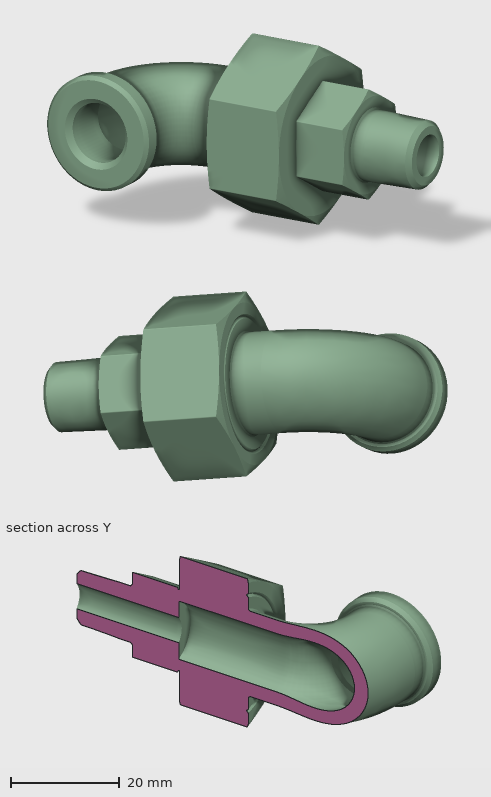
import cadquery as cq
import math

overall_length = 69.6
flange_radius = 11.0
outlet_end_x = overall_length - flange_radius
inlet_end_y = -21.0

tube_radius = 9.5
bend_radius = 14.05
tube_root_flare = 0.3
inlet_bore_radius = 5.7
inlet_bore_depth = 9.9
bore_chamfer = 1.05
passage_radius = 6.75
outlet_bore_radius = 4.0

flange_thickness = 4.05
flange_chamfer = 0.7

nut_start_x = 20.1
nut_end_x = 35.7
nut_across_flats = 29.9
groove_radius = 12.45
groove_depth = 0.4

neck_radius = 9.05
hex_start_x = 35.9
hex_end_x = 46.2
hex_across_flats = 18.45

corner_rounding = 0.2
hex_bevel_angle = 15.0

thread_radius = 6.7
thread_tip_radius = 6.5
thread_taper_start_x = 48.85
thread_tip_chamfer = 0.9
thread_root_chamfer = 0.35


def rod_x(start_x, end_x, radius):
    """Cylinder on the outlet axis."""
    return cq.Workplane("YZ").workplane(offset=start_x).circle(radius).extrude(end_x - start_x)


def rod_y(start_y, end_y, radius):
    """Cylinder on the inlet axis."""
    plane = cq.Plane(origin=(0, start_y, 0), xDir=(1, 0, 0), normal=(0, 1, 0))
    return cq.Workplane(plane).circle(radius).extrude(end_y - start_y)


def revolve_x(profile):
    """Solid of revolution about the outlet axis from (x, radius) points."""
    return cq.Workplane("XY").polyline(profile).close().revolve(360, (0, 0, 0), (1, 0, 0))


def bend(radius):
    """Quarter-turn pipe from the inlet axis to the outlet axis."""
    mid = bend_radius * (1 - math.sqrt(0.5))
    path = (
        cq.Workplane("XY")
        .moveTo(0, -bend_radius)
        .threePointArc((mid, -mid), (bend_radius, 0))
    )
    return cq.Workplane("XZ", origin=(0, -bend_radius, 0)).circle(radius).sweep(path)


def beveled_hex(start_x, end_x, across_flats, bevel_start):
    """Hexagonal prism, corners up and down, with conical bevels on its end faces."""
    flat_radius = across_flats / 2
    corner_radius = flat_radius / math.cos(math.radians(30))
    bevel_depth = (corner_radius - flat_radius) * math.tan(math.radians(hex_bevel_angle))
    prism = (
        cq.Workplane("YZ")
        .workplane(offset=start_x)
        .transformed(rotate=(0, 0, 90))
        .polygon(6, 2 * corner_radius)
        .extrude(end_x - start_x)
        .edges("|X")
        .fillet(corner_rounding)
    )
    envelope = [(start_x, 0)]
    if bevel_start:
        envelope += [(start_x, flat_radius), (start_x + bevel_depth, corner_radius)]
    else:
        envelope += [(start_x, corner_radius)]
    envelope += [(end_x - bevel_depth, corner_radius), (end_x, flat_radius), (end_x, 0)]
    return prism.intersect(revolve_x(envelope))


def inlet_flange():
    flange = rod_y(inlet_end_y, inlet_end_y + flange_thickness, flange_radius)
    return flange.faces("<Y or >Y").chamfer(flange_chamfer)


def union_nut():
    """Nut and collar in one, with the V-groove ring between them."""
    nut = beveled_hex(nut_start_x, nut_end_x, nut_across_flats, True)
    groove = revolve_x([
        (nut_start_x, groove_radius - groove_depth),
        (nut_start_x + groove_depth, groove_radius),
        (nut_start_x, groove_radius + groove_depth),
    ])
    return nut.cut(groove)


def flared_tube(start, direction, length):
    """Straight tube leaving the bend, flared slightly at its far end."""
    profile = [
        (0, 0),
        (0, tube_radius),
        (length - tube_root_flare, tube_radius),
        (length, tube_radius + tube_root_flare),
        (length, 0),
    ]
    plane = cq.Plane(origin=start, xDir=direction, normal=(0, 0, 1))
    return cq.Workplane(plane).polyline(profile).close().revolve(360, (0, 0, 0), (1, 0, 0))


def male_thread():
    """Short cylinder followed by a taper with a chamfered tip."""
    taper_end_x = outlet_end_x - thread_tip_chamfer
    return revolve_x([
        (hex_end_x, 0),
        (hex_end_x, thread_radius + thread_root_chamfer),
        (hex_end_x + thread_root_chamfer, thread_radius),
        (thread_taper_start_x, thread_radius),
        (taper_end_x, thread_tip_radius),
        (outlet_end_x, thread_tip_radius - thread_tip_chamfer),
        (outlet_end_x, 0),
    ])


def passage():
    """Straight inlet bore opening into a wider bend, then a narrower bore through the outlet."""
    inlet_bore_end_y = inlet_end_y + inlet_bore_depth
    inlet_chamfer = cq.Workplane("XY").add(
        cq.Solid.makeCone(
            inlet_bore_radius + bore_chamfer,
            inlet_bore_radius,
            bore_chamfer,
            pnt=cq.Vector(0, inlet_end_y, 0),
            dir=cq.Vector(0, 1, 0),
        )
    )
    inlet_wall = rod_y(inlet_end_y, inlet_bore_end_y, tube_radius)
    return (
        bend(passage_radius)
        .cut(inlet_wall)
        .union(rod_y(inlet_end_y, inlet_bore_end_y, inlet_bore_radius))
        .union(inlet_chamfer)
        .union(rod_x(bend_radius, nut_end_x, passage_radius))
        .union(rod_x(nut_end_x, outlet_end_x, outlet_bore_radius))
    )


inlet_tube_length = -bend_radius - (inlet_end_y + flange_thickness)
inlet_tube = flared_tube((0, -bend_radius, 0), (0, -1, 0), inlet_tube_length)
outlet_tube = flared_tube((bend_radius, 0, 0), (1, 0, 0), nut_start_x - bend_radius)

body = (
    bend(tube_radius)
    .union(inlet_tube)
    .union(inlet_flange())
    .union(outlet_tube)
    .union(union_nut())
    .union(rod_x(nut_end_x, hex_start_x, neck_radius))
    .union(beveled_hex(hex_start_x, hex_end_x, hex_across_flats, False))
    .union(male_thread())
)
result = body.cut(passage())